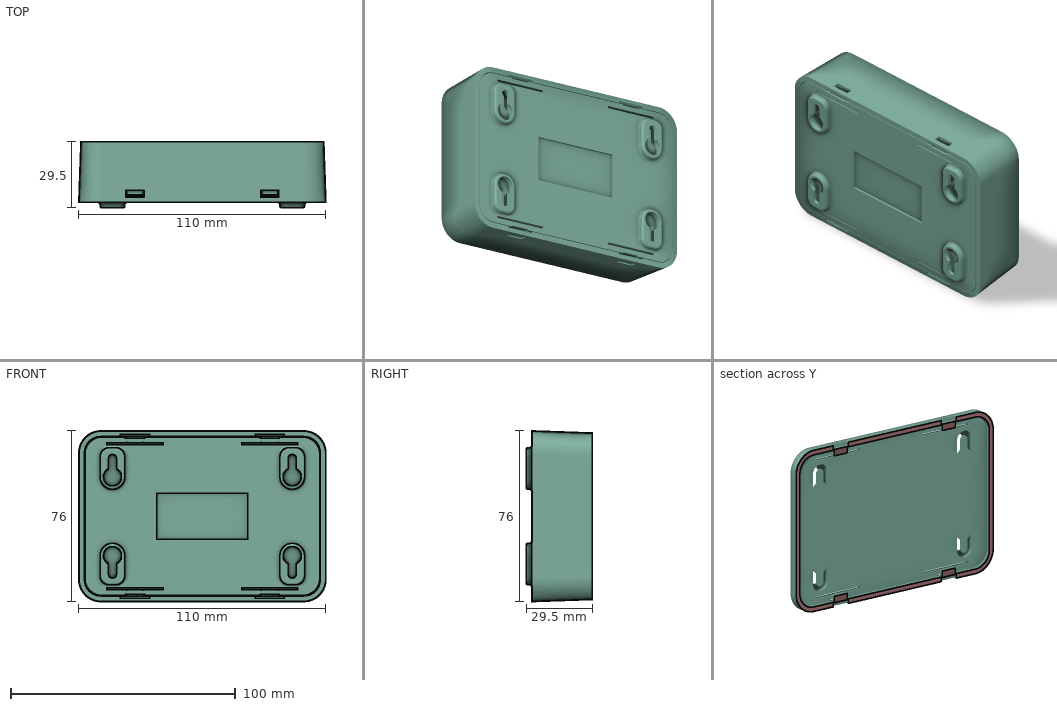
import cadquery as cq
import math

HOUSING_LENGTH = 110.0
HOUSING_HEIGHT = 76.0
HOUSING_DEPTH = 27.0
CORNER_RADIUS = 10.0
DRAFT_ANGLE = 2.0
WALL = 2.5
BACK_WALL = 2.5

LID_GAP = 0.3
LID_THICKNESS = 2.0
LABEL_LENGTH = 40.4
LABEL_HEIGHT = 20.4
LABEL_DEPTH = 1.0

SNAP_X = 30.0
WINDOW_LENGTH = 8.0
WINDOW_FRONT = 2.3
WINDOW_BACK = 5.3
PRY_LENGTH = 13.0
PRY_SIZE = 1.0
FLEX_SLOT_LENGTH = 25.0
FLEX_SLOT_WIDTH = 1.0
FLEX_SLOT_TOP = 32.8
NOTCH_LENGTH = 8.6
NOTCH_DEPTH = 0.4
HOOK_LENGTH = 7.4
HOOK_FRONT = 2.6
HOOK_CREST_END = 3.3
HOOK_TIP = 6.0
HOOK_REACH = 1.5

FOOT_X = 40.0
FOOT_HEIGHT = 2.5
FOOT_HALF_WIDTH = 5.5
FOOT_ROUND_Z = 17.5
FOOT_END_Z = 30.5
FOOT_CORNER_RADIUS = 4.0
FOOT_EDGE_RADIUS = 1.0
KEYHOLE_HEAD_RADIUS = 4.0
KEYHOLE_SLOT_RADIUS = 1.8
KEYHOLE_SLOT_Z = 25.7
KEYHOLE_LIP = 1.5
KEYHOLE_FLOOR = 1.3

opening_length = HOUSING_LENGTH - 2 * WALL
opening_height = HOUSING_HEIGHT - 2 * WALL
opening_radius = CORNER_RADIUS - WALL
lid_length = opening_length - 2 * LID_GAP
lid_height = opening_height - 2 * LID_GAP
lid_radius = opening_radius - LID_GAP
notch_floor = lid_height / 2 - NOTCH_DEPTH


def front_plane(y):
    """Sketch plane parallel to the front, with local x = X, local y = Z and its normal towards -Y."""
    return cq.Workplane(cq.Plane(origin=(0, y, 0), xDir=(1, 0, 0), normal=(0, -1, 0)))


def block(x_size, x, y_start, y_end, z_start, z_end):
    """Box centred on x, between the given Y and Z limits."""
    return cq.Workplane("XY").box(x_size, y_end - y_start, z_end - z_start, centered=False).translate(
        (x - x_size / 2, y_start, z_start)
    )


def rounded_plate(length, height, radius, y_start, y_end):
    return front_plane(y_start).rect(length, height).extrude(y_start - y_end).edges("|Y").fillet(radius)


def at_all_corners(shape):
    """Copies a shape made for the +X, +Z quadrant into all four quadrants."""
    upper = shape.union(shape.mirror("YZ"))
    return upper.union(upper.mirror("XY"))


def make_housing():
    draft_inset = HOUSING_DEPTH * math.tan(math.radians(DRAFT_ANGLE))
    shell = (
        front_plane(0)
        .rect(HOUSING_LENGTH, HOUSING_HEIGHT)
        .workplane(offset=-HOUSING_DEPTH)
        .rect(HOUSING_LENGTH - 2 * draft_inset, HOUSING_HEIGHT - 2 * draft_inset)
        .loft(ruled=True)
        .edges("not(#Y)")
        .fillet(CORNER_RADIUS)
    )
    cavity = rounded_plate(
        opening_length, opening_height, opening_radius, 0, HOUSING_DEPTH - BACK_WALL
    )
    window = block(WINDOW_LENGTH, SNAP_X, WINDOW_FRONT, WINDOW_BACK,
                   opening_height / 2 - WALL, HOUSING_HEIGHT / 2 + WALL)
    pry_groove = (
        cq.Workplane("YZ", origin=(SNAP_X - PRY_LENGTH / 2, 0, opening_height / 2))
        .polyline([(0, 0), (0, PRY_SIZE), (PRY_SIZE, 0)])
        .close()
        .extrude(PRY_LENGTH)
    )
    return shell.cut(cavity).cut(at_all_corners(window)).cut(at_all_corners(pry_groove))


def foot_outline(y):
    """Foot outline: a full round towards the middle of the lid, two rounded corners at the far end."""
    corner_z = FOOT_END_Z - FOOT_CORNER_RADIUS
    corner_x = FOOT_HALF_WIDTH - FOOT_CORNER_RADIUS
    corner_mid = FOOT_CORNER_RADIUS * math.sqrt(0.5)
    return (
        front_plane(y)
        .center(FOOT_X, 0)
        .moveTo(-FOOT_HALF_WIDTH, FOOT_ROUND_Z)
        .threePointArc((0, FOOT_ROUND_Z - FOOT_HALF_WIDTH), (FOOT_HALF_WIDTH, FOOT_ROUND_Z))
        .lineTo(FOOT_HALF_WIDTH, corner_z)
        .threePointArc((corner_x + corner_mid, corner_z + corner_mid), (corner_x, FOOT_END_Z))
        .lineTo(-corner_x, FOOT_END_Z)
        .threePointArc((-corner_x - corner_mid, corner_z + corner_mid), (-FOOT_HALF_WIDTH, corner_z))
        .close()
    )


def make_plate_with_feet():
    plate = rounded_plate(lid_length, lid_height, lid_radius, 0, LID_THICKNESS)
    foot = foot_outline(LID_THICKNESS).extrude(LID_THICKNESS + FOOT_HEIGHT)
    foot = foot.faces("<Y").edges().fillet(FOOT_EDGE_RADIUS)
    plate = plate.union(at_all_corners(foot))
    reach_x = FOOT_X + FOOT_HALF_WIDTH + FOOT_EDGE_RADIUS
    reach_z = FOOT_END_Z + FOOT_EDGE_RADIUS
    for side in (-1, 1):
        foot_bases = cq.selectors.BoxSelector(
            (0, -FOOT_EDGE_RADIUS, -reach_z), (side * reach_x, FOOT_EDGE_RADIUS, reach_z)
        )
        plate = plate.edges(foot_bases).fillet(FOOT_EDGE_RADIUS)
    return plate


def make_keyhole():
    """Blind keyhole pocket, with an undercut behind its slot lips that is open to the back of the lid."""
    travel = KEYHOLE_SLOT_Z - FOOT_ROUND_Z

    def run(radius, y_start, y_end):
        return (
            front_plane(y_start)
            .center(FOOT_X, FOOT_ROUND_Z + travel / 2)
            .slot2D(travel + 2 * radius, 2 * radius, 90)
            .extrude(y_start - y_end)
        )

    def keyhole_prism(y_start, y_end):
        head = (
            front_plane(y_start)
            .center(FOOT_X, FOOT_ROUND_Z)
            .circle(KEYHOLE_HEAD_RADIUS)
            .extrude(y_start - y_end)
        )
        return head.union(run(KEYHOLE_SLOT_RADIUS, y_start, y_end))

    pocket = keyhole_prism(-FOOT_HEIGHT, KEYHOLE_FLOOR)
    floor = keyhole_prism(KEYHOLE_FLOOR, LID_THICKNESS)
    undercut = run(KEYHOLE_HEAD_RADIUS, KEYHOLE_LIP - FOOT_HEIGHT, LID_THICKNESS).cut(floor)
    return pocket.union(undercut)


def make_hook():
    """Snap arm behind the lid edge, with a flat catch, a narrow crest and a lead-in ramp."""
    crest = notch_floor + HOOK_REACH
    return (
        cq.Workplane("YZ", origin=(SNAP_X - HOOK_LENGTH / 2, 0, 0))
        .moveTo(0, FLEX_SLOT_TOP)
        .lineTo(0, notch_floor)
        .lineTo(HOOK_FRONT, notch_floor)
        .lineTo(HOOK_FRONT, crest)
        .lineTo(HOOK_CREST_END, crest)
        .lineTo(HOOK_TIP, notch_floor)
        .lineTo(HOOK_TIP, FLEX_SLOT_TOP)
        .close()
        .extrude(HOOK_LENGTH)
    )


def make_lid():
    label = block(LABEL_LENGTH, 0, 0, LABEL_DEPTH, -LABEL_HEIGHT / 2, LABEL_HEIGHT / 2)
    flex_slot = block(FLEX_SLOT_LENGTH, SNAP_X, 0, LID_THICKNESS,
                      FLEX_SLOT_TOP - FLEX_SLOT_WIDTH, FLEX_SLOT_TOP)
    notch = block(NOTCH_LENGTH, SNAP_X, 0, LID_THICKNESS, notch_floor, lid_height / 2)
    lid = make_plate_with_feet().cut(label)
    for cutter in (make_keyhole(), flex_slot, notch):
        lid = lid.cut(at_all_corners(cutter))
    return lid.union(at_all_corners(make_hook()))


housing = make_housing()
lid = make_lid()

result = cq.Compound.makeCompound([housing.solids().val(), lid.solids().val()])